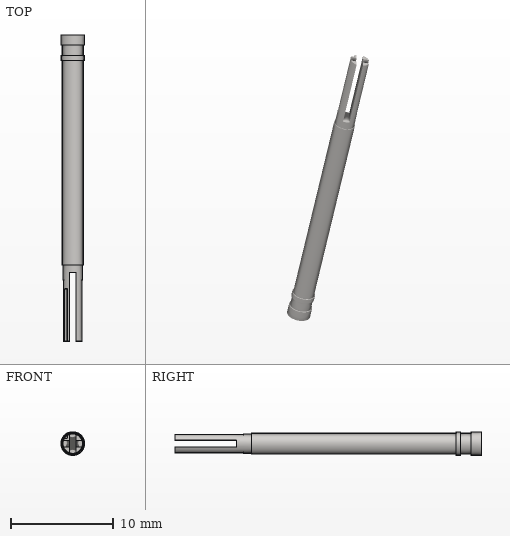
import cadquery as cq
import math

length = 30.0
collar_diameter = 2.3
body_diameter = 2.07
ring_diameter = 2.28
tip_diameter = 1.92

tip_length = 7.5
collar_length = 1.02
ring_start = 27.5
ring_width = 0.45

slot_width = 0.63
vertical_slot_length = 6.72
horizontal_slot_length = 6.0

groove_radius = 0.18
groove_length = 5.2
groove_angle = 135.0


def cylinder(diameter, start, end):
    """Cylinder on the Y axis between two stations."""
    return cq.Workplane("XZ", origin=(0, start, 0)).circle(diameter / 2).extrude(start - end)


def shaft():
    """Turned body with a narrower tip, a collar at the far end and a ring in front of the collar."""
    tip = cylinder(tip_diameter, 0, tip_length)
    body = cylinder(body_diameter, tip_length, length)
    collar = cylinder(collar_diameter, length - collar_length, length)
    ring = cylinder(ring_diameter, ring_start, ring_start + ring_width)
    return tip.union(body).union(collar).union(ring)


def slot(width_x, width_z, depth):
    """Rectangular cut from the tip face, passing right through the shaft."""
    return cq.Workplane("XY").box(width_x, depth, width_z, centered=(True, False, True))


def groove():
    """Ball-ended groove centred on the tip surface, open at the tip face."""
    tip_radius = tip_diameter / 2
    angle = math.radians(groove_angle)
    center_x = tip_radius * math.cos(angle)
    center_z = tip_radius * math.sin(angle)
    ball_center = groove_length - groove_radius
    ball = cq.Workplane("XY").sphere(groove_radius).translate((0, ball_center, 0))
    return cylinder(2 * groove_radius, 0, ball_center).union(ball).translate((center_x, 0, center_z))


result = (
    shaft()
    .cut(slot(slot_width, collar_diameter, vertical_slot_length))
    .cut(slot(collar_diameter, slot_width, horizontal_slot_length))
    .cut(groove())
)